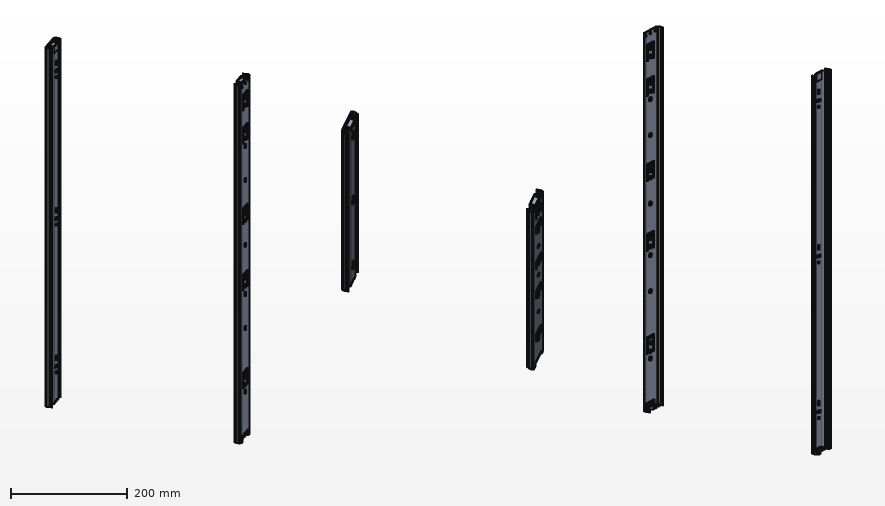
import cadquery as cq

LENGTH = 700.0
SPAN = 365.0
SLIDE_WIDTH = 44.0
SLIDE_DEPTH = 13.0
SHEET = 1.5
ARC_POINT = 0.5**0.5
UPRIGHT = 90
LEVEL = 0

GROOVE_RISE = 1.5
GROOVE_START = 3.5
GROOVE_END = 8.5
GROOVE_RAMP = 1.75
OUTER_HALF = SLIDE_WIDTH / 2 - GROOVE_RISE
OUTER_RADIUS = 1.75

BALL_GAP = 2.95
WEB_GAP = 1.0
MIDDLE_BACK = SHEET + WEB_GAP
MIDDLE_TIP = 10.5
MIDDLE_HALF = OUTER_HALF - SHEET - BALL_GAP
INNER_BACK = SLIDE_DEPTH
INNER_TIP = 5.25
INNER_HALF = MIDDLE_HALF - SHEET - BALL_GAP
BEND_RADIUS = 2.0
LOWER_END = 2.0

BLOCK_START = MIDDLE_BACK + SHEET
BLOCK_WIDTH = 15.5
BLOCK_DROP = 1.5
BLOCK_LENGTH = 14.0

SLOTTED_TAB_HEIGHT = 441.0
TABS = [(675.5, 666.0), (611.0, 601.0), (453.5, SLOTTED_TAB_HEIGHT), (324.0, 313.5), (133.0, 120.0)]
TAB_CUT_HEIGHT = 31.0
TAB_CUT_WIDTH = 20.0
TAB_LEG = 2.3
TAB_GAP = 4.5
TAB_HOLE_PITCH = 15.5
TAB_HOLE_DIAMETER = 7.0
TAB_SLOT_LENGTH = 11.0

SCREW_HOLE_HEIGHTS = [571.0, 505.0, 378.0, 282.0, 215.5, 91.0]
SCREW_HOLE_DIAMETER = 8.0

TOP_HOLE_DIAMETER = 4.5
TOP_HOLE_HEIGHT = 694.0
TOP_HOLE_SPACING = 15.0

OUTER_NOTCH_WIDTH = 24.5
OUTER_NOTCH_HEIGHT = 11.0
END_NOTCH_WIDTH = 4.4
END_NOTCH_HEIGHT = 2.25
CENTRE_BAR = 2.25
WINDOW_BOTTOM = 6.6
WINDOW_HEIGHT = 5.5
WINDOW_WIDTH = 9.0

FIXING_HEIGHTS = [663.5, 375.0, 87.0]
FIXING_SLOT_LENGTH = 9.0
FIXING_DIAMETER = 4.5
LEVEL_SLOT_DROP = 16.0
ROUND_HOLE_DROP = 28.0


def symmetric_rail(half_profile, bottom):
    """Extrude half a cross-section up to the top end and mirror it about the mid-plane."""
    half = half_profile.close().extrude(LENGTH - bottom).translate((0, 0, bottom))
    return half.union(half.mirror("XZ"))


def web_sketch(height, offset=0.0):
    """A workplane on the outside face, looking along the depth of the slide."""
    return cq.Workplane("YZ", origin=(0, offset, height))


def round_cut(height, diameter, offset=0.0):
    return web_sketch(height, offset).circle(diameter / 2).extrude(SLIDE_DEPTH)


def slot_cut(height, length, width, angle):
    return web_sketch(height).slot2D(length, width, angle).extrude(SLIDE_DEPTH)


def channel(back, direction, tip, half_width):
    """C-shaped rail with its web at `back`, facing `direction`, and flanges ending at `tip`."""
    face = back + direction * SHEET
    bend = back + direction * BEND_RADIUS
    corner = half_width - BEND_RADIUS
    outside = BEND_RADIUS * ARC_POINT
    inside = (BEND_RADIUS - SHEET) * ARC_POINT
    profile = (
        cq.Workplane("XY")
        .moveTo(back, 0)
        .lineTo(back, corner)
        .threePointArc((bend - direction * outside, corner + outside), (bend, half_width))
        .lineTo(tip, half_width)
        .lineTo(tip, half_width - SHEET)
        .lineTo(bend, half_width - SHEET)
        .threePointArc((bend - direction * inside, corner + inside), (face, corner))
        .lineTo(face, 0)
    )
    return symmetric_rail(profile, LOWER_END)


def cut_end_notches(rail):
    """Open two small notches in the lower end of the web, either side of a centre bar."""
    for side in (-1, 1):
        offset = side * (CENTRE_BAR + END_NOTCH_WIDTH) / 2
        notch = web_sketch(LOWER_END, offset).rect(END_NOTCH_WIDTH, 2 * END_NOTCH_HEIGHT)
        rail = rail.cut(notch.extrude(SLIDE_DEPTH))
    return rail


def tab_cut(top):
    """U-shaped cut, open side down, that leaves a tab standing in the web."""
    middle = top - TAB_CUT_HEIGHT / 2
    window = web_sketch(middle).rect(TAB_CUT_WIDTH, TAB_CUT_HEIGHT).extrude(SHEET)
    tab = web_sketch(middle - TAB_GAP).rect(TAB_CUT_WIDTH - 2 * TAB_LEG, TAB_CUT_HEIGHT)
    return window.cut(tab.extrude(SHEET))


def make_outer_rail():
    corner = OUTER_HALF - OUTER_RADIUS
    outside = OUTER_RADIUS * ARC_POINT
    inside = (OUTER_RADIUS - SHEET) * ARC_POINT
    inner_half = OUTER_HALF - SHEET
    profile = (
        cq.Workplane("XY")
        .lineTo(0, corner)
        .threePointArc((OUTER_RADIUS - outside, corner + outside), (OUTER_RADIUS, OUTER_HALF))
        .lineTo(GROOVE_START, OUTER_HALF + GROOVE_RISE)
        .lineTo(GROOVE_END, OUTER_HALF + GROOVE_RISE)
        .lineTo(GROOVE_END + GROOVE_RAMP, OUTER_HALF)
        .lineTo(SLIDE_DEPTH, OUTER_HALF)
        .lineTo(SLIDE_DEPTH, inner_half)
        .lineTo(GROOVE_END + GROOVE_RAMP, inner_half)
        .lineTo(GROOVE_END, inner_half + GROOVE_RISE)
        .lineTo(GROOVE_START, inner_half + GROOVE_RISE)
        .lineTo(OUTER_RADIUS, inner_half)
        .threePointArc((OUTER_RADIUS - inside, corner + inside), (SHEET, corner))
        .lineTo(SHEET, 0)
    )
    rail = symmetric_rail(profile, 0)

    for cut_top, hole_height in TABS:
        rail = rail.cut(tab_cut(cut_top))
        for height in (hole_height, hole_height - TAB_HOLE_PITCH):
            rail = rail.cut(round_cut(height, TAB_HOLE_DIAMETER))
    rail = rail.cut(slot_cut(SLOTTED_TAB_HEIGHT, TAB_SLOT_LENGTH, TAB_HOLE_DIAMETER, UPRIGHT))
    for height in SCREW_HOLE_HEIGHTS:
        rail = rail.cut(round_cut(height, SCREW_HOLE_DIAMETER))
    for place in (-1, 0, 1):
        rail = rail.cut(round_cut(TOP_HOLE_HEIGHT, TOP_HOLE_DIAMETER, place * TOP_HOLE_SPACING))
    notch = web_sketch(0).rect(OUTER_NOTCH_WIDTH, 2 * OUTER_NOTCH_HEIGHT).extrude(SHEET)
    return rail.cut(notch)


def make_middle_rail():
    rail = cut_end_notches(channel(MIDDLE_BACK, 1, MIDDLE_TIP, MIDDLE_HALF))
    window_height = WINDOW_BOTTOM + WINDOW_HEIGHT / 2
    for side in (-1, 1):
        offset = side * (CENTRE_BAR + WINDOW_WIDTH) / 2
        window = web_sketch(window_height, offset).rect(WINDOW_WIDTH, WINDOW_HEIGHT)
        rail = rail.cut(window.extrude(SLIDE_DEPTH))
    return rail


def make_inner_rail():
    rail = cut_end_notches(channel(INNER_BACK, -1, INNER_TIP, INNER_HALF))
    for height in FIXING_HEIGHTS:
        rail = rail.cut(slot_cut(height, FIXING_SLOT_LENGTH, FIXING_DIAMETER, UPRIGHT))
        level_height = height - LEVEL_SLOT_DROP
        rail = rail.cut(slot_cut(level_height, FIXING_SLOT_LENGTH, FIXING_DIAMETER, LEVEL))
        rail = rail.cut(round_cut(height - ROUND_HOLE_DROP, FIXING_DIAMETER))
    return rail


def make_stop_block():
    depth = INNER_BACK - SHEET - BLOCK_START
    bottom = LENGTH - BLOCK_DROP - BLOCK_LENGTH
    block = cq.Workplane("XY").box(depth, BLOCK_WIDTH, BLOCK_LENGTH, centered=(False, True, False))
    return block.translate((BLOCK_START, 0, bottom))


slide = [make_outer_rail(), make_middle_rail(), make_inner_rail(), make_stop_block()]
left_slide = [body.translate((-SPAN / 2, 0, 0)) for body in slide]
right_slide = [body.mirror("YZ") for body in left_slide]

result = cq.Compound.makeCompound([body.val() for body in left_slide + right_slide])